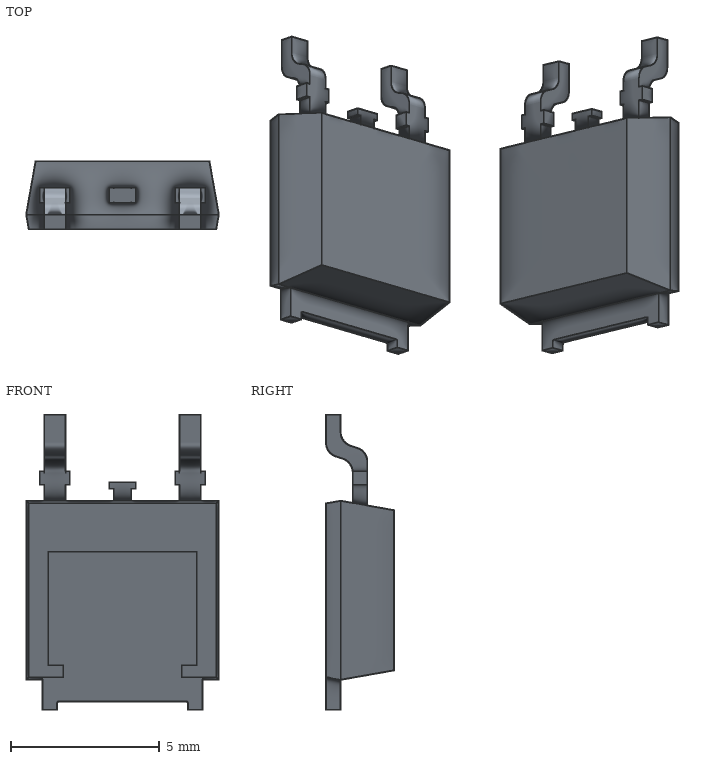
import cadquery as cq
import math


sheet_thickness = 0.5
total_height = 9.95

housing_width = 6.5
housing_depth = 2.3
housing_bottom = 1.01
housing_top = 7.05
draft_angle = 10.0
parting_y = sheet_thickness
front_inset = parting_y * math.tan(math.radians(draft_angle))
housing_front_bottom = housing_bottom + front_inset

tab_width = 5.4
tab_notch_width = 4.4
tab_notch_height = 0.28
tab_notch_radius = 0.06
neck_width = 4.0
pad_width = 5.0
pad_bottom = 1.5
pad_top = 5.33
stub_width = 0.6
stub_head_width = 0.9
stub_head_height = 0.23
stub_top = 7.68
stub_overlap = 0.5

lead_spacing = 4.56
lead_width = 0.73
lead_front = 0.9
lead_embed_bottom = 6.0
wing_width = 1.02
wing_bottom = 7.58
wing_top = 8.05
bend_bottom = 8.0
bend_radius = 0.49
bend_slope = 18.0


def block(width, y_front, y_back, z_bottom, z_top):
    """Box centred on X = 0 between the given Y and Z limits."""
    return cq.Workplane("XY").box(
        width, y_back - y_front, z_top - z_bottom, centered=(True, False, False)
    ).translate((0, y_front, z_bottom))


def drafted_half(depth, direction):
    """Half of the housing, from the parting line towards +Y (1) or -Y (-1)."""
    height = housing_top - housing_bottom
    middle = (housing_top + housing_bottom) / 2
    plane = cq.Plane(origin=(0, parting_y, middle), xDir=(1, 0, 0), normal=(0, direction, 0))
    return cq.Workplane(plane).rect(housing_width, height).extrude(depth, taper=draft_angle)


def make_lead_frame():
    """Tab, neck and pad in one sheet, with the centre lead stepped back from the pad."""
    tab = block(tab_width, 0, parting_y, 0, housing_front_bottom)
    notch = block(tab_notch_width, 0, parting_y, 0, tab_notch_height)
    notch = notch.edges("|Y and >Z").fillet(tab_notch_radius)
    neck = block(neck_width, 0, parting_y, housing_front_bottom, pad_bottom)
    pad = block(pad_width, 0, parting_y, pad_bottom, pad_top)

    stub_back = lead_front + sheet_thickness
    stub_foot = block(stub_width, parting_y, stub_back, pad_top - stub_overlap, pad_top)
    stub = block(stub_width, lead_front, stub_back, pad_top, stub_top)
    head = block(stub_head_width, lead_front, stub_back, stub_top - stub_head_height, stub_top)
    inner = neck.union(pad).union(stub_foot).union(stub).union(head)
    return tab.cut(notch).union(inner, clean=False)


def bend_points(start_y, start_z):
    """Points along one S-bend surface that rises from start and moves forward."""
    slope = math.radians(bend_slope)
    middle = (math.pi / 2 - slope) / 2
    arc_y = bend_radius * (1 - math.sin(slope))
    arc_z = bend_radius * math.cos(slope)
    middle_y = bend_radius * (1 - math.cos(middle))
    middle_z = bend_radius * math.sin(middle)
    end_y = start_y - lead_front
    end_z = start_z + 2 * arc_z + (lead_front - 2 * arc_y) * math.tan(slope)
    return [
        (start_y, start_z),
        (start_y - middle_y, start_z + middle_z),
        (start_y - arc_y, start_z + arc_z),
        (end_y + arc_y, end_z - arc_z),
        (end_y + middle_y, end_z - middle_z),
        (end_y, end_z),
    ]


def make_lead(centre_x):
    """Outer lead: a strip with an S-bend, and a wider stop just below the bend."""
    slope = math.radians(bend_slope)
    lead_back = lead_front + sheet_thickness
    back_rise = sheet_thickness * (1 / math.cos(slope) - math.tan(slope))
    front = bend_points(lead_front, bend_bottom)
    back = bend_points(lead_back, bend_bottom + back_rise)
    strip = (
        cq.Workplane("YZ")
        .moveTo(lead_front, lead_embed_bottom)
        .lineTo(*front[0])
        .threePointArc(front[1], front[2])
        .lineTo(*front[3])
        .threePointArc(front[4], front[5])
        .lineTo(0, total_height)
        .lineTo(sheet_thickness, total_height)
        .lineTo(*back[5])
        .threePointArc(back[4], back[3])
        .lineTo(*back[2])
        .threePointArc(back[1], back[0])
        .lineTo(lead_back, lead_embed_bottom)
        .close()
        .extrude(lead_width / 2, both=True)
    )
    wings = block(wing_width, lead_front, lead_back, wing_bottom, wing_top)
    wings = wings.cut(block(lead_width, lead_front, lead_back, wing_bottom, wing_top))
    return strip.union(wings).translate((centre_x, 0, 0))


def make_housing(inserts):
    """Moulded housing with recesses matching everything that enters it."""
    housing = drafted_half(parting_y, -1).union(drafted_half(housing_depth - parting_y, 1))
    for insert in inserts:
        housing = housing.cut(insert)
    return housing


lead_frame = make_lead_frame()
leads = [make_lead(side * lead_spacing / 2) for side in (-1, 1)]
housing = make_housing([lead_frame, *leads])

result = cq.Compound.makeCompound(
    [body.solids().val() for body in (housing, lead_frame, *leads)]
)